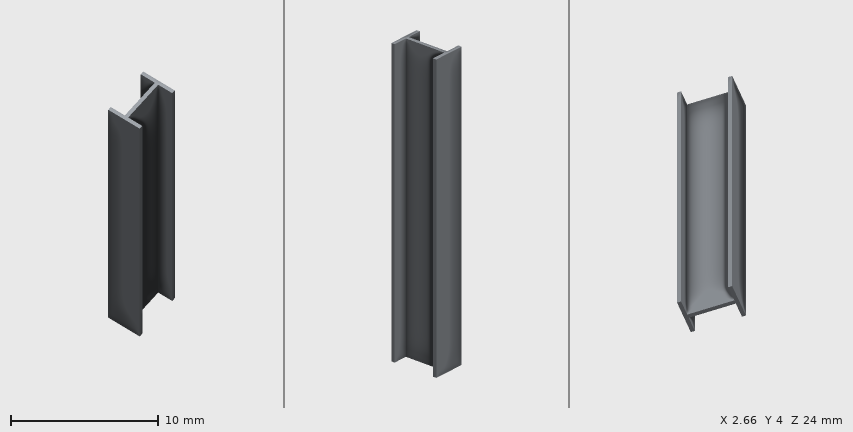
import cadquery as cq

flange_width = 2.66
section_depth = 4.0
bar_length = 24.0
flange_thickness = 0.29
web_thickness = 0.29


def make_flange(side):
    """Flange plate on the +Y (side = 1) or -Y (side = -1) edge of the section."""
    flange_offset = side * (section_depth - flange_thickness) / 2
    return (
        cq.Workplane("XY")
        .center(0, flange_offset)
        .rect(flange_width, flange_thickness)
        .extrude(bar_length)
    )


def make_web():
    """Central plate joining the inner faces of the two flanges."""
    web_depth = section_depth - 2 * flange_thickness
    return cq.Workplane("XY").rect(web_thickness, web_depth).extrude(bar_length)


result = make_web()
for side in (-1, 1):
    result = result.union(make_flange(side))